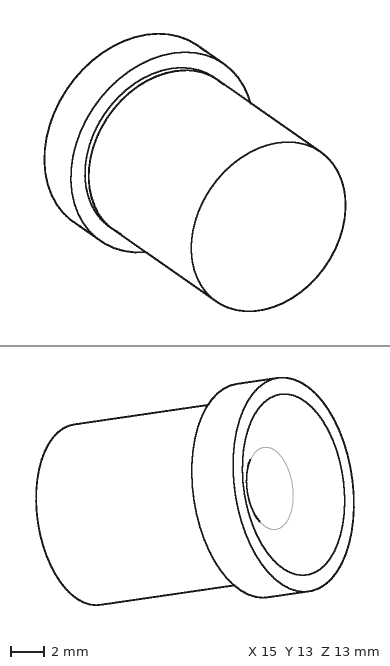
import cadquery as cq
import math

length = 15.0
head_diameter = 13.0
head_thickness = 3.0
body_diameter = 11.0

groove_width = 0.4
groove_depth = 0.1

recess_diameter = body_diameter
tip_diameter = 5.0
outer_cone_angle = 120.0
tip_cone_angle = 90.0


def cone_depth(radius_change, included_angle):
    """Axial length over which a cone changes radius by the given amount."""
    return radius_change / math.tan(math.radians(included_angle / 2))


head_radius = head_diameter / 2
body_radius = body_diameter / 2
recess_radius = recess_diameter / 2
tip_radius = tip_diameter / 2
outer_cone_depth = cone_depth(recess_radius - tip_radius, outer_cone_angle)
apex_depth = outer_cone_depth + cone_depth(tip_radius, tip_cone_angle)
groove_middle = head_thickness + groove_width / 2
groove_end = head_thickness + groove_width

half_section = (
    cq.Workplane("XZ")
    .moveTo(apex_depth, 0)
    .lineTo(outer_cone_depth, tip_radius)
    .lineTo(0, recess_radius)
    .lineTo(0, head_radius)
    .lineTo(head_thickness, head_radius)
    .lineTo(head_thickness, body_radius)
    .threePointArc((groove_middle, body_radius - groove_depth), (groove_end, body_radius))
    .lineTo(length, body_radius)
    .lineTo(length, 0)
    .close()
)
result = half_section.revolve(360, (0, 0, 0), (1, 0, 0))